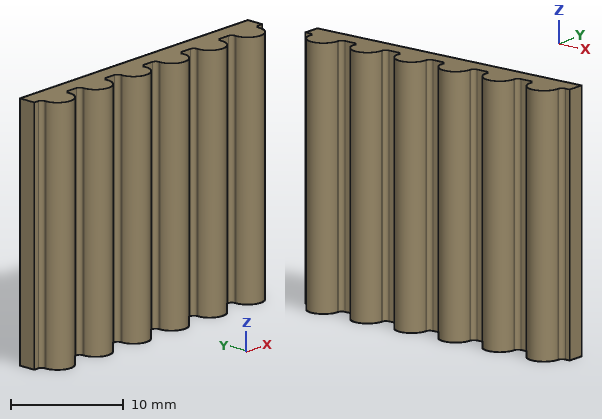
import cadquery as cq

length = 30.0
belt_width = 25.0
thickness = 3.8
backing_thickness = 1.75
tooth_count = 6
tooth_radius = 1.55
root_fillet = 0.42

pitch = length / tooth_count
root_y = thickness - backing_thickness
fillet_end_y = root_y - root_fillet
tip_arc_y = tooth_radius


def add_tooth(outline, center_x):
    """Continue the outline along the root and around one tooth, left to right."""
    left = center_x - tooth_radius
    right = center_x + tooth_radius
    return (
        outline.lineTo(left - root_fillet, root_y)
        .radiusArc((left, fillet_end_y), root_fillet)
        .lineTo(left, tip_arc_y)
        .threePointArc((center_x, 0), (right, tip_arc_y))
        .lineTo(right, fillet_end_y)
        .radiusArc((right + root_fillet, root_y), root_fillet)
    )


profile = cq.Workplane("XY").moveTo(0, root_y)
for index in range(tooth_count):
    profile = add_tooth(profile, (index + 0.5) * pitch)
profile = profile.lineTo(length, root_y).lineTo(length, thickness).lineTo(0, thickness).close()

result = profile.extrude(belt_width)